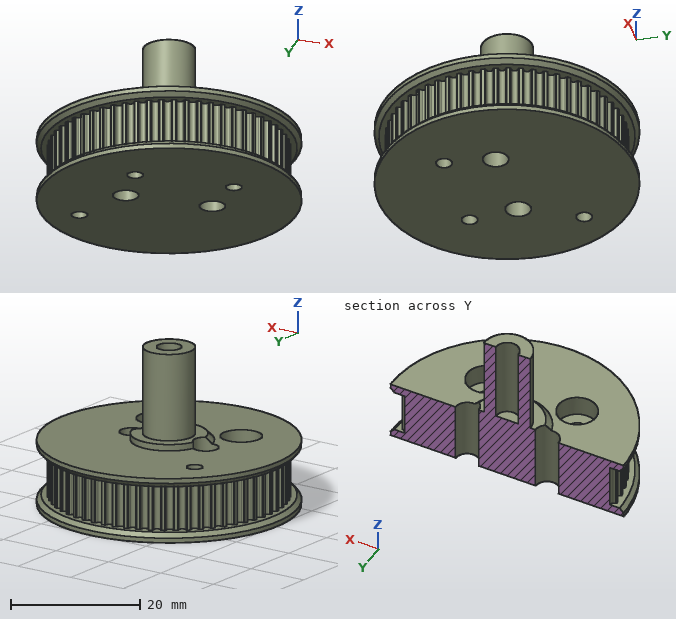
import cadquery as cq
import math

FLANGE_DIAMETER = 41.0
FLANGE_THICKNESS = 1.5
FLANGE_RIM_HEIGHT = 0.78
FLANGE_BEVEL_WIDTH = 0.7
BODY_HEIGHT = 10.4

TOOTH_COUNT = 60
DRUM_DIAMETER = 37.68
GROOVE_DEPTH = 0.78
GROOVE_MOUTH_HALF_WIDTH = 0.75
LIP_HALF_WIDTH = 0.6
LIP_DEPTH = 0.12
FLANK_END_HALF_WIDTH = 0.45
FLANK_END_DEPTH = 0.55
GROOVE_OVERCUT = 0.4

COLLAR_DIAMETER = 12.0
COLLAR_HEIGHT = 1.02
COLLAR_TOP = BODY_HEIGHT + COLLAR_HEIGHT
SHAFT_DIAMETER = 8.15
TOTAL_HEIGHT = 25.4
BORE_DIAMETER = 3.9
BORE_DEPTH = TOTAL_HEIGHT - COLLAR_TOP

SIDE_HOLE_DIAMETER = 4.0
SIDE_HOLE_OFFSET = 7.0
SMALL_HOLE_DIAMETER = 2.5
SCREW_OFFSET = 8.0
COUNTERBORE_DIAMETER = 6.5
COUNTERBORE_DEPTH = 3.4
PIN_HOLE_CENTER = (-11.6, 9.35)


def make_flange():
    """Lower flange: a straight rim topped by a bevel facing the belt."""
    radius = FLANGE_DIAMETER / 2
    bevel_radius = radius - FLANGE_BEVEL_WIDTH
    return (
        cq.Workplane("XZ")
        .moveTo(0, 0)
        .lineTo(radius, 0)
        .lineTo(radius, FLANGE_RIM_HEIGHT)
        .lineTo(bevel_radius, FLANGE_THICKNESS)
        .lineTo(0, FLANGE_THICKNESS)
        .close()
        .revolve(360, (0, 0), (0, 1))
    )


def make_groove():
    """One belt groove on the +X side: rounded floor, flared flanks and bevelled lips."""
    surface = math.sqrt((DRUM_DIAMETER / 2) ** 2 - GROOVE_MOUTH_HALF_WIDTH**2)
    outside = DRUM_DIAMETER / 2 + GROOVE_OVERCUT
    floor = DRUM_DIAMETER / 2 - GROOVE_DEPTH
    lip = DRUM_DIAMETER / 2 - LIP_DEPTH
    flank_end = DRUM_DIAMETER / 2 - FLANK_END_DEPTH
    return (
        cq.Workplane("XY", origin=(0, 0, FLANGE_THICKNESS))
        .moveTo(outside, -GROOVE_MOUTH_HALF_WIDTH)
        .lineTo(surface, -GROOVE_MOUTH_HALF_WIDTH)
        .lineTo(lip, -LIP_HALF_WIDTH)
        .lineTo(flank_end, -FLANK_END_HALF_WIDTH)
        .threePointArc((floor, 0), (flank_end, FLANK_END_HALF_WIDTH))
        .lineTo(lip, LIP_HALF_WIDTH)
        .lineTo(surface, GROOVE_MOUTH_HALF_WIDTH)
        .lineTo(outside, GROOVE_MOUTH_HALF_WIDTH)
        .close()
        .extrude(BODY_HEIGHT - 2 * FLANGE_THICKNESS)
    )


def make_drum():
    """Toothed drum between the flanges."""
    drum = (
        cq.Workplane("XY", origin=(0, 0, FLANGE_THICKNESS))
        .circle(DRUM_DIAMETER / 2)
        .extrude(BODY_HEIGHT - 2 * FLANGE_THICKNESS)
    )
    groove = make_groove().val()
    pitch_angle = 360 / TOOTH_COUNT
    grooves = [
        groove.rotate(cq.Vector(0, 0, 0), cq.Vector(0, 0, 1), tooth * pitch_angle)
        for tooth in range(TOOTH_COUNT)
    ]
    return drum.cut(cq.Compound.makeCompound(grooves))


def make_collar():
    """Round collar whose -Y half flares outward at 45 degrees toward the flange."""
    radius = COLLAR_DIAMETER / 2
    collar = cq.Workplane("XY", origin=(0, 0, BODY_HEIGHT)).circle(radius).extrude(COLLAR_HEIGHT)
    flare = (
        cq.Workplane("XZ")
        .moveTo(0, BODY_HEIGHT)
        .lineTo(radius + COLLAR_HEIGHT, BODY_HEIGHT)
        .lineTo(radius, COLLAR_TOP)
        .lineTo(0, COLLAR_TOP)
        .close()
        .revolve(180, (0, 0), (0, -1))
    )
    return collar.union(flare)


lower_flange = make_flange()
upper_flange = lower_flange.mirror("XY").translate((0, 0, BODY_HEIGHT))
shaft = (
    cq.Workplane("XY", origin=(0, 0, BODY_HEIGHT))
    .circle(SHAFT_DIAMETER / 2)
    .extrude(TOTAL_HEIGHT - BODY_HEIGHT)
)
result = make_drum().union(lower_flange).union(upper_flange).union(make_collar()).union(shaft)

result = result.faces(">Z").workplane(origin=(0, 0, TOTAL_HEIGHT)).hole(BORE_DIAMETER, BORE_DEPTH)

side_holes = (
    cq.Workplane("XY")
    .pushPoints([(-SIDE_HOLE_OFFSET, 0), (SIDE_HOLE_OFFSET, 0)])
    .circle(SIDE_HOLE_DIAMETER / 2)
    .extrude(COLLAR_TOP)
)
result = result.cut(side_holes)

flange_top = cq.Workplane("XY", origin=(0, 0, BODY_HEIGHT))
screw_centers = [(-SCREW_OFFSET, -SCREW_OFFSET), (SCREW_OFFSET, -SCREW_OFFSET)]
counterbores = (
    flange_top.pushPoints(screw_centers)
    .circle(COUNTERBORE_DIAMETER / 2)
    .extrude(-COUNTERBORE_DEPTH)
)
small_holes = (
    flange_top.pushPoints(screw_centers + [PIN_HOLE_CENTER])
    .circle(SMALL_HOLE_DIAMETER / 2)
    .extrude(-BODY_HEIGHT)
)
result = result.cut(counterbores).cut(small_holes)